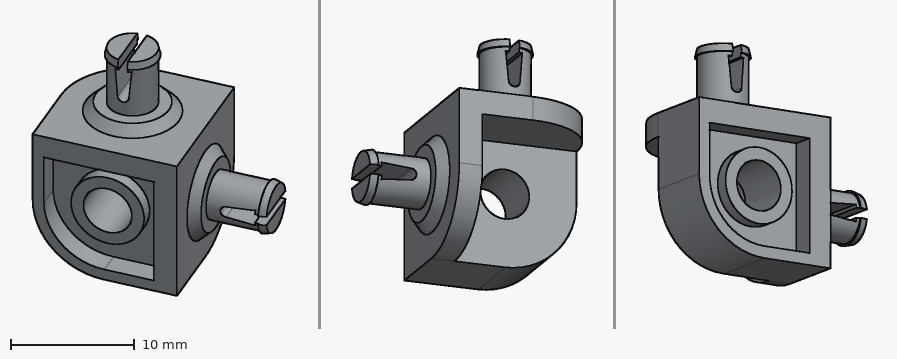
import cadquery as cq
import math

overall_length = 18.69
body_depth = 12.43
corner_radius = body_depth / 2
face_offset = 6.35
wall = 2.0
block_back = -0.07

pocket_depth = 2.0
pocket_rim = 1.0
bore_diameter = 4.2
boss_diameter = 6.35
boss_recess = 0.8

peg_tip = overall_length - corner_radius
peg_diameter = 4.2
collar_base_diameter = 8.07
collar_top_diameter = 6.35
collar_height = 0.88
lip_diameter = 4.55
lip_height = 0.67
slot_mouth_width = 0.82
slot_mouth_depth = 1.0
slot_wide_width = 1.44
slot_round_radius = 0.495
slot_depth = 4.0
overlap = 0.19


def rounded_corner_plate(plane, radius, high_u, high_v, thickness):
    """Rectangle with its low-low corner rounded and centred on the plane origin."""
    return (
        cq.Workplane(plane)
        .moveTo(-radius, high_v)
        .lineTo(-radius, 0)
        .radiusArc((0, -radius), -radius)
        .lineTo(high_u, -radius)
        .lineTo(high_u, high_v)
        .close()
        .extrude(thickness)
    )


def front_plane(y):
    """Plane facing +Y, with local axes Z and X."""
    return cq.Plane(origin=(0, y, 0), xDir=(0, 0, 1), normal=(0, 1, 0))


def make_body():
    block = rounded_corner_plate(
        front_plane(-corner_radius), corner_radius, face_offset, face_offset,
        block_back + corner_radius,
    )
    top_plane = cq.Plane(origin=(0, 0, face_offset), xDir=(1, 0, 0), normal=(0, 0, -1))
    top_plate = rounded_corner_plate(
        top_plane, corner_radius, face_offset, corner_radius, wall
    )
    side_plane = cq.Plane(origin=(face_offset, 0, 0), xDir=(0, -1, 0), normal=(-1, 0, 0))
    side_plate = rounded_corner_plate(
        side_plane, corner_radius, corner_radius, face_offset, wall
    )
    return block.union(top_plate).union(side_plate)


def make_pocket():
    """Front recess, leaving the bored boss standing in its middle."""
    radius = corner_radius - pocket_rim
    inner_edge = face_offset - wall
    recess = rounded_corner_plate(
        front_plane(-corner_radius), radius, inner_edge, inner_edge, pocket_depth
    )
    boss_plane = front_plane(boss_recess - corner_radius)
    boss = cq.Workplane(boss_plane).circle(boss_diameter / 2).extrude(pocket_depth - boss_recess)
    return recess.cut(boss)


def make_peg():
    """Split snap peg with a conical collar, pointing along +Z."""
    collar_top = face_offset + collar_height
    lip_base = peg_tip - lip_height
    peg = (
        cq.Workplane("XZ")
        .moveTo(0, face_offset - overlap)
        .lineTo(collar_base_diameter / 2, face_offset - overlap)
        .lineTo(collar_base_diameter / 2, face_offset)
        .lineTo(collar_top_diameter / 2, collar_top)
        .lineTo(peg_diameter / 2, collar_top)
        .lineTo(peg_diameter / 2, lip_base)
        .lineTo(lip_diameter / 2, lip_base)
        .lineTo(peg_diameter / 2, peg_tip)
        .lineTo(0, peg_tip)
        .close()
        .revolve(360, (0, 0, 0), (0, 1, 0))
    )
    return peg.cut(make_slot())


def make_slot():
    """Narrow mouth over a tapered slot whose round end is tangent to its sides."""
    mouth = slot_mouth_width / 2
    wide = slot_wide_width / 2
    shoulder = peg_tip - slot_mouth_depth
    bottom = peg_tip - slot_depth
    round_centre = bottom + slot_round_radius
    rise = shoulder - round_centre
    tangent_angle = math.atan2(rise, wide) - math.acos(slot_round_radius / math.hypot(wide, rise))
    tangent_x = slot_round_radius * math.cos(tangent_angle)
    tangent_z = round_centre + slot_round_radius * math.sin(tangent_angle)
    return (
        cq.Workplane("XZ")
        .moveTo(-mouth, peg_tip + overlap)
        .lineTo(-mouth, shoulder)
        .lineTo(-wide, shoulder)
        .lineTo(-tangent_x, tangent_z)
        .threePointArc((0, bottom), (tangent_x, tangent_z))
        .lineTo(wide, shoulder)
        .lineTo(mouth, shoulder)
        .lineTo(mouth, peg_tip + overlap)
        .close()
        .extrude(lip_diameter, both=True)
    )


bore = cq.Workplane("XZ").circle(bore_diameter / 2).extrude(corner_radius + overlap, both=True)
top_peg = make_peg()
side_peg = top_peg.rotate((0, 0, 0), (0, 1, 0), 90)

result = make_body().cut(make_pocket()).cut(bore).union(top_peg).union(side_peg)